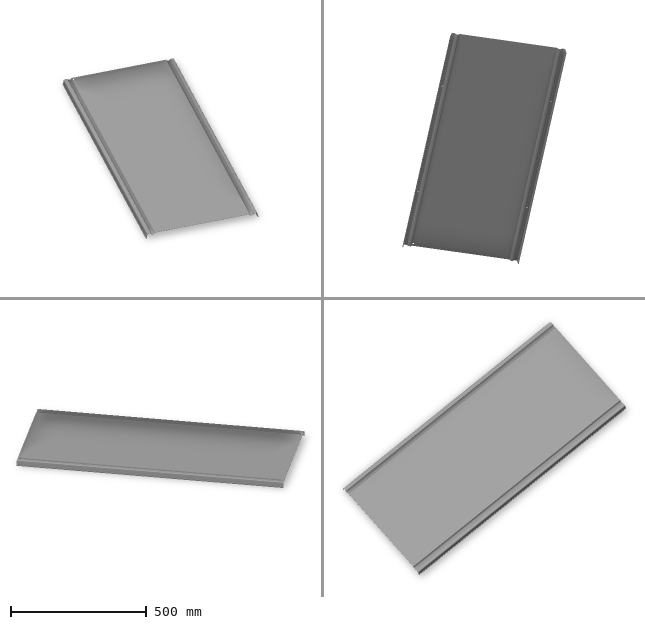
import cadquery as cq

length = 1000.0
width = 436.0
height = 21.0
sheet = 1.0

shoulder_y = 213.0
shoulder_radius = 3.0
lip_height = 4.0
wall_foot_y = 216.0

groove_outer_y = 200.0
groove_inner_y = 184.0
groove_depth = 6.0
groove_deepest_y = 192.0
flank_foot_y = 187.0
flank_drop = 5.0

side_hole_diameter = 4.0
side_hole_x = 250.0
side_hole_y = 204.0
corner_hole_diameter = 6.0
corner_hole_x = -490.0
corner_hole_y = -179.0

half_width = width / 2


def extrude_along_length(sketch):
    return sketch.extrude(length / 2, both=True)


def both_sides(body):
    """The body together with its mirror image on the opposite long side."""
    return body.union(body.mirror("XZ"))


def top_plate():
    plate_width = 2 * (shoulder_y - sheet)
    plane = cq.Workplane("XY").workplane(offset=height - sheet)
    return plane.box(length, plate_width, sheet, centered=(True, True, False))


def side_wall():
    """Leaning wall running from the top plate down to the lip."""
    outline = cq.Workplane("YZ").polyline(
        [
            (shoulder_y - sheet, height),
            (shoulder_y, height),
            (wall_foot_y, lip_height),
            (half_width, lip_height),
            (half_width, 0),
            (wall_foot_y - sheet, 0),
            (wall_foot_y - sheet, lip_height),
            (shoulder_y - sheet, height - sheet),
        ]
    )
    return extrude_along_length(outline.close())


def round_shoulders(body):
    """Round both faces of the folds where the top turns down into the walls."""
    folds = [
        (shoulder_y, height, shoulder_radius),
        (shoulder_y - sheet, height - sheet, shoulder_radius - sheet),
    ]
    for side in (-1, 1):
        for y, z, radius in folds:
            fold_edge = cq.selectors.NearestToPointSelector((0, side * y, z))
            body = body.edges(fold_edge).fillet(radius)
    return body


def groove_outline():
    """Closed section of the open space inside one groove."""
    return (
        cq.Workplane("YZ")
        .moveTo(groove_outer_y, height)
        .threePointArc((groove_deepest_y, height - groove_depth), (flank_foot_y, height - flank_drop))
        .lineTo(groove_inner_y, height)
        .close()
    )


def trough():
    """Groove space grown by the sheet thickness and trimmed at the top face."""
    grown = extrude_along_length(groove_outline().offset2D(sheet))
    below_top = cq.Workplane("XY").box(length, width, height, centered=(True, True, False))
    return grown.intersect(below_top)


def hole_cutters():
    side_holes = (
        cq.Workplane("XY")
        .rect(2 * side_hole_x, 2 * side_hole_y, forConstruction=True)
        .vertices()
        .circle(side_hole_diameter / 2)
        .extrude(height)
    )
    corner_hole = (
        cq.Workplane("XY")
        .center(corner_hole_x, corner_hole_y)
        .circle(corner_hole_diameter / 2)
        .extrude(height)
    )
    return side_holes.union(corner_hole)


groove_space = extrude_along_length(groove_outline())

result = round_shoulders(top_plate().union(both_sides(side_wall())).clean())
result = result.union(both_sides(trough()))
result = result.cut(both_sides(groove_space))
result = result.cut(hole_cutters())